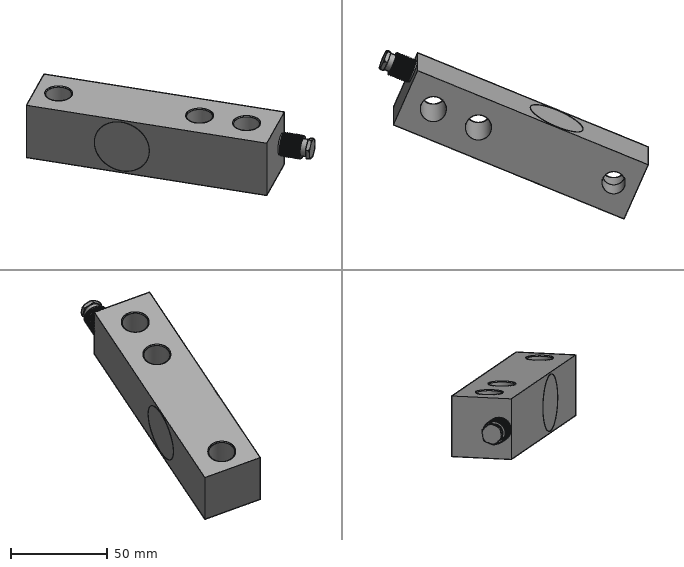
import cadquery as cq
import math

overall_length = 146.88
beam_length = 130.0
beam_side = 32.0
beam_middle = beam_side / 2

load_hole_x = 12.7
load_to_mount = 76.2
mount_spacing = 25.4
hole_diameter = 13.5
hole_chamfer = 0.5
load_bore_diameter = 12.0
load_mouth_depth = beam_side / 2
first_mount_x = load_hole_x + load_to_mount
mount_hole_xs = (first_mount_x, first_mount_x + mount_spacing)

cover_diameter = 29.75
cover_x = 51.65
cover_raise = 0.1

gland_y = 26.0
thread_pitch = 1.25
thread_turns = 9
thread_major = 12.5
thread_minor = 11.6
crest_flat = 0.1
root_flat = 0.4
ridge_base = thread_pitch - root_flat
thread_length = thread_turns * thread_pitch + ridge_base / 2
neck_diameter = 9.2
hex_flats = 10.0
hex_turn = -20.0
hex_chamfer = 0.6
hex_length = 2.15
neck_length = overall_length - beam_length - thread_length - hex_length


def vertical_cylinder(x, diameter, bottom=0.0):
    """Cylinder at x, centred across the beam, from bottom up to the top face."""
    return (
        cq.Workplane("XY", origin=(x, beam_middle, bottom))
        .circle(diameter / 2)
        .extrude(beam_side - bottom)
    )


def hole_mouth(x):
    """Chamfer cone at the top edge of a hole."""
    return (
        cq.Workplane("XY", origin=(x, beam_middle, beam_side - hole_chamfer))
        .circle(hole_diameter / 2)
        .workplane(offset=hole_chamfer)
        .circle(hole_diameter / 2 + hole_chamfer)
        .loft()
    )


def gauge_cover(start_y):
    """Thin disc with its axis along Y, running from start_y toward +Y."""
    return (
        cq.Workplane("XZ", origin=(cover_x, start_y, beam_middle))
        .circle(cover_diameter / 2)
        .extrude(-cover_raise)
    )


def make_beam():
    """Square bar with its holes and gauge covers."""
    bar = cq.Workplane("XY").box(beam_length, beam_side, beam_side, centered=False)

    for x in mount_hole_xs:
        bar = bar.cut(vertical_cylinder(x, hole_diameter)).cut(hole_mouth(x))

    bar = bar.cut(vertical_cylinder(load_hole_x, load_bore_diameter))
    bar = bar.cut(vertical_cylinder(load_hole_x, hole_diameter, beam_side - load_mouth_depth))
    bar = bar.cut(hole_mouth(load_hole_x))

    for start_y in (-cover_raise, beam_side):
        bar = bar.union(gauge_cover(start_y))
    return bar


def revolve_about_x(outline):
    """Full turn of a closed outline about the X axis."""
    return outline.close().revolve(360, (0, 0, 0), (1, 0, 0))


def make_thread():
    """Ring-shaped thread ridges on a plain core."""
    root = thread_minor / 2
    crest = thread_major / 2
    outline = cq.Workplane("XY").lineTo(0, root)
    for turn in range(1, thread_turns + 1):
        ridge = turn * thread_pitch
        outline = outline.lineTo(ridge - ridge_base / 2, root)
        outline = outline.lineTo(ridge - crest_flat / 2, crest)
        outline = outline.lineTo(ridge + crest_flat / 2, crest)
        outline = outline.lineTo(ridge + ridge_base / 2, root)
    return revolve_about_x(outline.lineTo(thread_length, 0))


def make_hex_head():
    """Hexagon turned about X, with the corners of its outer end chamfered."""
    corner = hex_flats / math.sqrt(3)
    hexagon = (
        cq.Workplane("YZ")
        .polygon(6, 2 * corner)
        .extrude(hex_length)
        .rotate((0, 0, 0), (1, 0, 0), hex_turn)
    )
    envelope = revolve_about_x(
        cq.Workplane("XY")
        .lineTo(0, corner)
        .lineTo(hex_length - hex_chamfer, corner)
        .lineTo(hex_length, corner - hex_chamfer)
        .lineTo(hex_length, 0)
    )
    return hexagon.intersect(envelope)


def make_gland():
    """Cable gland, seated against the +X end of the beam."""
    neck = (
        cq.Workplane("YZ", origin=(thread_length, 0, 0))
        .circle(neck_diameter / 2)
        .extrude(neck_length)
    )
    head = make_hex_head().translate((thread_length + neck_length, 0, 0))
    return make_thread().union(neck).union(head).translate((beam_length, gland_y, beam_middle))


beam = make_beam()
gland = make_gland()

result = cq.Compound.makeCompound([beam.solids().val(), gland.solids().val()])